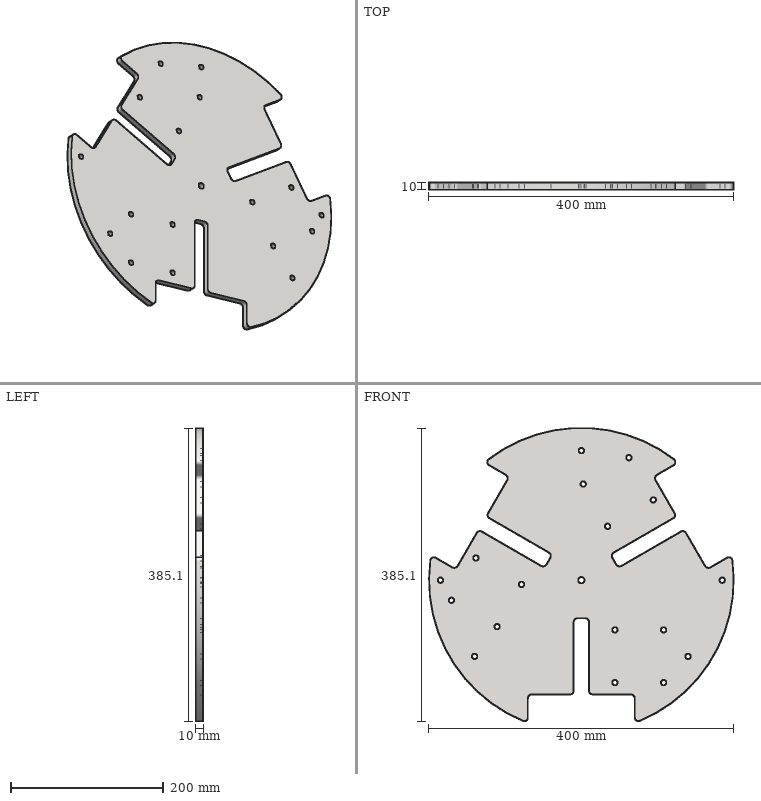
import cadquery as cq
import math

disc_radius = 200.0
thickness = 10.0

sector_count = 3
sector_angle = 360 / sector_count
slot_width = 20.0
slot_end_radius = 50.0
recess_width = 140.0
recess_floor_radius = 150.0
inner_corner_radius = 5.0
outer_corner_radius = 4.8

mount_hole_diameter = 6.8
center_hole_diameter = 8.0
pattern_near_x = 44.0
pattern_far_x = 108.0
pattern_upper_z = -65.0
pattern_lower_z = -134.5
side_hole_x = 184.5
top_hole_z = 170.0
lower_hole_x = 140.0
lower_hole_z = -100.0

overcut = 20.0


def plate_plane():
    """Sketch plane on the rear face, with local y along +Z and its normal along -Y."""
    return cq.Workplane("XZ", origin=(0, thickness / 2, 0))


def around_axis(body, index):
    return body.rotate((0, 0, 0), (0, 1, 0), index * sector_angle)


def corner_edges(points):
    """Selector for the through-thickness edges at the given (x, z) points."""
    reach = 2.0
    boxes = [
        cq.selectors.BoxSelector((x - reach, -thickness, z - reach), (x + reach, thickness, z + reach))
        for x, z in points
    ]
    selector = boxes[0]
    for box in boxes[1:]:
        selector = selector + box
    return selector


def make_notch():
    """Narrow radial slot that opens into a wide recess at the bottom rim."""
    half_slot = slot_width / 2
    half_recess = recess_width / 2
    rim = -disc_radius - overcut
    slot_end = [(-half_slot, -slot_end_radius), (half_slot, -slot_end_radius)]
    slot_mouth = [(half_slot, -recess_floor_radius), (-half_slot, -recess_floor_radius)]
    recess_corners = [(half_recess, -recess_floor_radius), (-half_recess, -recess_floor_radius)]
    outline = [
        *slot_end,
        slot_mouth[0],
        recess_corners[0],
        (half_recess, rim),
        (-half_recess, rim),
        recess_corners[1],
        slot_mouth[1],
    ]
    notch = plate_plane().polyline(outline).close().extrude(thickness)
    notch = notch.edges(corner_edges(slot_end + recess_corners)).fillet(inner_corner_radius)
    return notch.edges(corner_edges(slot_mouth)).fillet(outer_corner_radius)


def make_plate():
    plate = plate_plane().circle(disc_radius).extrude(thickness)
    notch = make_notch()
    for index in range(sector_count):
        plate = plate.cut(around_axis(notch, index))
    return plate


def round_rim_tips(plate):
    """Round the sharp tips where the recess sides meet the disc rim."""
    half_recess = recess_width / 2
    tip_z = -math.sqrt(disc_radius**2 - half_recess**2)
    tips = corner_edges([(-half_recess, tip_z), (half_recess, tip_z)])
    for _ in range(sector_count):
        plate = plate.edges(tips).fillet(outer_corner_radius)
        plate = around_axis(plate, 1)
    return plate


def drill(plate, points, diameter):
    holes = plate_plane().pushPoints(points).circle(diameter / 2).extrude(thickness)
    return plate.cut(holes)


def drill_sector_holes(plate):
    """Rectangle of four holes, repeated beside each notch."""
    rectangle = [
        (x, z)
        for x in (pattern_near_x, pattern_far_x)
        for z in (pattern_upper_z, pattern_lower_z)
    ]
    for _ in range(sector_count):
        plate = drill(plate, rectangle, mount_hole_diameter)
        plate = around_axis(plate, 1)
    return plate


single_holes = [
    (0, top_hole_z),
    (-side_hole_x, 0),
    (side_hole_x, 0),
    (-lower_hole_x, lower_hole_z),
    (lower_hole_x, lower_hole_z),
]

result = round_rim_tips(make_plate())
result = drill_sector_holes(result)
result = drill(result, single_holes, mount_hole_diameter)
result = drill(result, [(0, 0)], center_hole_diameter)